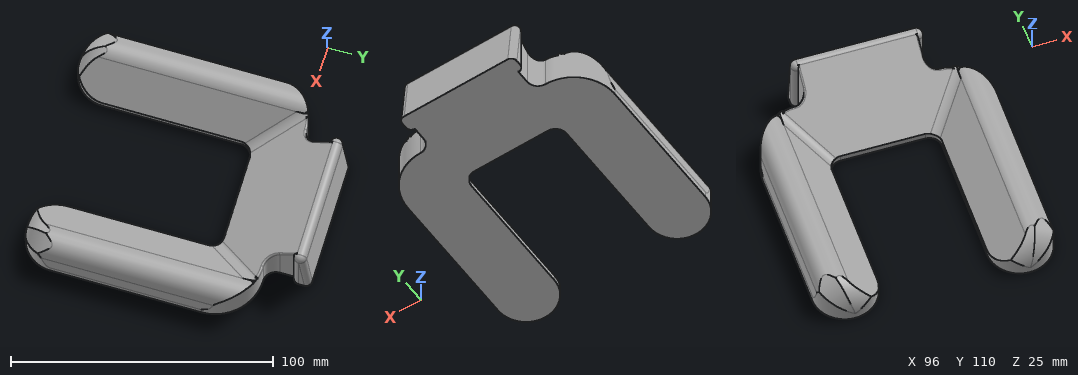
import cadquery as cq
import math

WIDTH = 96.0
LENGTH = 110.0
HEIGHT = 25.0

ARM_WIDTH = 26.0
SLOT_DEPTH = 73.0
SLOT_CORNER_RADIUS = 5.0
SHOULDER_Y = 92.0
SHOULDER_RADIUS = 19.0
NECK_HALF_WIDTH = 24.0
NECK_CORNER_RADIUS = 5.0

EDGE_HEIGHT = 3.0
ARM_SLOPE = math.radians(40.0)
BACK_SLOPE = math.radians(35.0)
SIDE_DRAFT = math.radians(5.0)
CREST_RADIUS = 7.3
VALLEY_RADIUS = 5.0
RIM_RADIUS = 0.6
RIM_END = 34.2

INNER_NOSE_RADIUS = 11.6
INNER_NOSE_TILT = math.radians(15.0)
OUTER_NOSE_RADIUS = 15.0
OUTER_NOSE_TILT = math.radians(-28.0)

LIP_RADIUS = 2.5

HALF_WIDTH = WIDTH / 2
SLOT_HALF_WIDTH = HALF_WIDTH - ARM_WIDTH
TIP_RADIUS = ARM_WIDTH / 2
ARM_CENTER = HALF_WIDTH - TIP_RADIUS
DIAGONAL = math.sqrt(0.5)
ARC_INSET = 1 - DIAGONAL

LIP_CENTER_Z = HEIGHT - LIP_RADIUS
LIP_CENTER_Y = (
    SLOT_DEPTH
    + (LIP_CENTER_Z - EDGE_HEIGHT + LIP_RADIUS / math.cos(BACK_SLOPE)) / math.tan(BACK_SLOPE)
)
LIP_FRONT_Y = LIP_CENTER_Y - LIP_RADIUS * math.sin(BACK_SLOPE)
LIP_FOOT_RUN = LENGTH - LIP_CENTER_Y
TANGENT_ANGLE = math.asin(LIP_RADIUS / math.hypot(LIP_FOOT_RUN, LIP_CENTER_Z))
BACK_LEAN = math.atan2(LIP_FOOT_RUN, LIP_CENTER_Z) - TANGENT_ANGLE


def half_outline():
    """Plan area of the half at +X, without the lip."""
    slot_corner_x = SLOT_HALF_WIDTH - SLOT_CORNER_RADIUS * ARC_INSET
    slot_corner_y = SLOT_DEPTH - SLOT_CORNER_RADIUS * ARC_INSET
    shoulder_x = HALF_WIDTH - SHOULDER_RADIUS * ARC_INSET
    shoulder_y = SHOULDER_Y - SHOULDER_RADIUS * ARC_INSET
    neck_corner_x = NECK_HALF_WIDTH + NECK_CORNER_RADIUS * ARC_INSET
    neck_corner_y = SHOULDER_Y + NECK_CORNER_RADIUS * ARC_INSET
    return (
        cq.Workplane("XY")
        .moveTo(0, SLOT_DEPTH)
        .lineTo(SLOT_HALF_WIDTH - SLOT_CORNER_RADIUS, SLOT_DEPTH)
        .threePointArc((slot_corner_x, slot_corner_y), (SLOT_HALF_WIDTH, SLOT_DEPTH - SLOT_CORNER_RADIUS))
        .lineTo(SLOT_HALF_WIDTH, TIP_RADIUS)
        .threePointArc((ARM_CENTER, 0), (HALF_WIDTH, TIP_RADIUS))
        .lineTo(HALF_WIDTH, SHOULDER_Y - SHOULDER_RADIUS)
        .threePointArc((shoulder_x, shoulder_y), (HALF_WIDTH - SHOULDER_RADIUS, SHOULDER_Y))
        .threePointArc((neck_corner_x, neck_corner_y), (NECK_HALF_WIDTH, SHOULDER_Y + NECK_CORNER_RADIUS))
        .lineTo(NECK_HALF_WIDTH, LIP_FRONT_Y)
        .lineTo(0, LIP_FRONT_Y)
        .close()
        .extrude(HEIGHT)
    )


def arm_bar():
    """Bar with the arm's cross-section up to a sharp ridge: inner slope and drafted outside."""
    inner_foot = SLOT_HALF_WIDTH - EDGE_HEIGHT / math.tan(ARM_SLOPE)
    ridge_rise = ARM_WIDTH / (1 / math.tan(ARM_SLOPE) + math.tan(SIDE_DRAFT))
    ridge_x = HALF_WIDTH - ridge_rise * math.tan(SIDE_DRAFT)
    return (
        cq.Workplane("XZ")
        .moveTo(inner_foot, 0)
        .lineTo(ridge_x, EDGE_HEIGHT + ridge_rise)
        .lineTo(HALF_WIDTH, EDGE_HEIGHT)
        .lineTo(HALF_WIDTH, 0)
        .close()
        .extrude(-LENGTH)
    )


def back_wedge():
    """Half of the sloped back plate."""
    foot_y = SLOT_DEPTH - EDGE_HEIGHT / math.tan(BACK_SLOPE)
    return (
        cq.Workplane("YZ")
        .moveTo(foot_y, 0)
        .lineTo(LENGTH, (LENGTH - foot_y) * math.tan(BACK_SLOPE))
        .lineTo(LENGTH, 0)
        .close()
        .extrude(HALF_WIDTH)
    )


def rounded_slopes():
    """Arm bar and back wedge with the valley between them and the arm's crest rounded."""
    bar = arm_bar()
    wedge = back_wedge()
    slopes = bar.union(wedge)
    valley_dir = cq.Vector(1 / math.tan(ARM_SLOPE), 1 / math.tan(BACK_SLOPE), 1)
    slopes = slopes.edges(cq.selectors.ParallelDirSelector(valley_dir)).fillet(VALLEY_RADIUS)

    crested = bar.edges("|Y").edges(">Z").fillet(CREST_RADIUS)
    crest_start = crested.faces("%CYLINDER").val().BoundingBox().xmin
    inside = cq.Workplane("XY").box(crest_start, LENGTH, LENGTH, centered=False)
    return slopes.intersect(crested.union(wedge).union(inside))


def nose_cutter(radius, tilt):
    """Everything beyond a cylinder tangent to the arm tip at the top of its edge band."""
    plane = cq.Plane(
        origin=(ARM_CENTER, 0, EDGE_HEIGHT),
        xDir=(0, 1, 0),
        normal=(math.cos(tilt), 0, math.sin(tilt)),
    )
    arc_mid = (radius * ARC_INSET, radius * DIAGONAL)
    return (
        cq.Workplane(plane)
        .threePointArc(arc_mid, (radius, radius))
        .lineTo(radius, LENGTH)
        .lineTo(-LENGTH, LENGTH)
        .lineTo(-LENGTH, 0)
        .close()
        .extrude(WIDTH, both=True)
    )


def rim_cutter():
    """Sliver outside the rounded upper rim of the back plate, from the neck to the valley."""
    sharp = back_wedge().intersect(half_outline())
    uphill = cq.Vector(0, math.cos(BACK_SLOPE), math.sin(BACK_SLOPE))
    neck_rim = sharp.edges(cq.selectors.ParallelDirSelector(uphill)).edges(">X")
    sliver = sharp.cut(neck_rim.fillet(RIM_RADIUS))
    reach = cq.Workplane("XY").box(RIM_END, LENGTH, HEIGHT, centered=False)
    return sliver.intersect(reach)


def half_body():
    """Arm and back plate of the +X half, trimmed to the plan outline and rounded."""
    body = rounded_slopes().intersect(half_outline())
    body = body.cut(rim_cutter())
    body = body.cut(nose_cutter(INNER_NOSE_RADIUS, INNER_NOSE_TILT))
    return body.cut(nose_cutter(OUTER_NOSE_RADIUS, OUTER_NOSE_TILT))


def half_lip():
    """Back lip with a leaning rear face and a ball-shaped top corner."""
    front_z = LIP_CENTER_Z + LIP_RADIUS * math.cos(BACK_SLOPE)
    rear_y = LIP_CENTER_Y + LIP_RADIUS * math.cos(BACK_LEAN)
    rear_z = LIP_CENTER_Z + LIP_RADIUS * math.sin(BACK_LEAN)
    core = (
        cq.Workplane("YZ")
        .moveTo(LIP_FRONT_Y, 0)
        .lineTo(LIP_FRONT_Y, front_z)
        .threePointArc((LIP_CENTER_Y, HEIGHT), (rear_y, rear_z))
        .lineTo(LENGTH, 0)
        .close()
        .extrude(NECK_HALF_WIDTH)
    )

    rear_axis_foot = LENGTH - LIP_RADIUS / math.cos(BACK_LEAN)
    end = (
        cq.Workplane("YZ")
        .moveTo(LIP_CENTER_Y, 0)
        .lineTo(LIP_CENTER_Y, LIP_CENTER_Z)
        .lineTo(rear_axis_foot, 0)
        .close()
        .extrude(NECK_HALF_WIDTH + LIP_RADIUS)
    )
    ball_center = cq.Vector(NECK_HALF_WIDTH, LIP_CENTER_Y, LIP_CENTER_Z)
    ball = cq.Workplane("XY").sphere(LIP_RADIUS).translate(ball_center)
    front_post = cq.Solid.makeCylinder(LIP_RADIUS, LIP_CENTER_Z, ball_center, cq.Vector(0, 0, -1))
    rear_direction = cq.Vector(0, math.sin(BACK_LEAN), -math.cos(BACK_LEAN))
    rear_post = cq.Solid.makeCylinder(LIP_RADIUS, HEIGHT, ball_center, rear_direction)
    lip = core.union(end).union(ball).union(cq.Workplane(front_post)).union(cq.Workplane(rear_post))

    right_half = cq.Workplane("XY").box(WIDTH, 2 * LENGTH, HEIGHT, centered=(False, True, False))
    return lip.intersect(right_half)


half = half_body().union(half_lip())
result = half.union(half.mirror("YZ"))